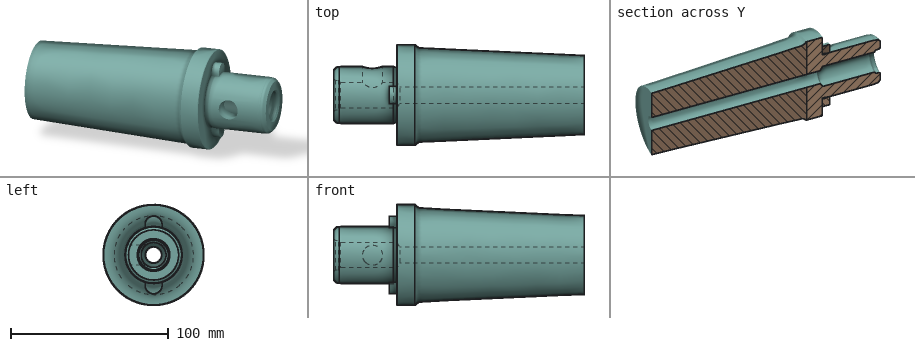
import cadquery as cq
import math

LENGTH = 159.0
FLANGE_FRONT = 40.0
FLANGE_BACK = 51.5

SPIGOT_RADIUS = 18.1
TIP_RADIUS = 15.9
TIP_CHAMFER = 1.6
BAND_RADIUS = 17.8
BAND_START = 2.2
BAND_END = 3.0
RAMP_START = 3.7
RAMP_START_RADIUS = 18.0
RAMP_END = 5.0
ROUND_SAG = 0.05

UNDERCUT_START = 37.7
SLOPE_END = 38.5
SLOPE_END_RADIUS = 17.8
GROOVE_RADIUS = 17.6
GROOVE_START = 39.1
GROOVE_END = 39.6
WALL_ROOT_DEPTH = 0.3
WALL_ROOT_RADIUS = 18.5
WALL_RIM_RADIUS = 19.7

FLANGE_DIAMETER = 64.0
FLANGE_RADIUS = FLANGE_DIAMETER / 2
FLANGE_CHAMFER = 0.3

MOUTH_RADIUS = 10.3
COUNTERBORE_RADIUS = 9.4
COUNTERBORE_DEPTH = 2.9
DRILL_RADIUS = 8.0
DRILL_DEPTH = FLANGE_FRONT
PASSAGE_RADIUS = 5.1
DRILL_POINT_ANGLE = 118.0

SIDE_HOLE_X = 24.5
SIDE_HOLE_RADIUS = 6.4

BODY_CHAMFER = 1.0
BLEND_END = 55.3
TAPER_FRONT_RADIUS = 29.9
TAPER_BACK_RADIUS = 25.1

PIN_RADIUS = 5.4
PIN_AXIS_OFFSET = 19.2
PIN_LENGTH = 5.0
PIN_ANGLES = (0, 180)


def revolve_about_x(profile):
    """Turn a closed profile, drawn as (x, radius), about the X axis."""
    return profile.close().revolve(360, (0, 0, 0), (1, 0, 0))


def make_spigot_and_flange():
    return revolve_about_x(
        cq.Workplane("XY")
        .moveTo(0, 0)
        .lineTo(0, TIP_RADIUS)
        .lineTo(TIP_CHAMFER, TIP_RADIUS + TIP_CHAMFER)
        .sagittaArc((BAND_START, BAND_RADIUS), ROUND_SAG)
        .lineTo(BAND_END, BAND_RADIUS)
        .sagittaArc((RAMP_START, RAMP_START_RADIUS), -ROUND_SAG)
        .lineTo(RAMP_END, SPIGOT_RADIUS)
        .lineTo(UNDERCUT_START, SPIGOT_RADIUS)
        .lineTo(SLOPE_END, SLOPE_END_RADIUS)
        .tangentArcPoint((GROOVE_START, GROOVE_RADIUS), relative=False)
        .lineTo(GROOVE_END, GROOVE_RADIUS)
        .tangentArcPoint((FLANGE_FRONT + WALL_ROOT_DEPTH, WALL_ROOT_RADIUS), relative=False)
        .lineTo(FLANGE_FRONT, WALL_RIM_RADIUS)
        .lineTo(FLANGE_FRONT, FLANGE_RADIUS - FLANGE_CHAMFER)
        .lineTo(FLANGE_FRONT + FLANGE_CHAMFER, FLANGE_RADIUS)
        .lineTo(FLANGE_BACK, FLANGE_RADIUS)
        .lineTo(FLANGE_BACK, 0)
    )


def make_bore():
    mouth_depth = MOUTH_RADIUS - COUNTERBORE_RADIUS
    shoulder_depth = COUNTERBORE_RADIUS - DRILL_RADIUS
    half_point = math.radians(DRILL_POINT_ANGLE / 2)
    point_depth = (DRILL_RADIUS - PASSAGE_RADIUS) / math.tan(half_point)
    return revolve_about_x(
        cq.Workplane("XY")
        .moveTo(0, 0)
        .lineTo(0, MOUTH_RADIUS)
        .lineTo(mouth_depth, COUNTERBORE_RADIUS)
        .lineTo(COUNTERBORE_DEPTH, COUNTERBORE_RADIUS)
        .lineTo(COUNTERBORE_DEPTH + shoulder_depth, DRILL_RADIUS)
        .lineTo(DRILL_DEPTH, DRILL_RADIUS)
        .lineTo(DRILL_DEPTH + point_depth, PASSAGE_RADIUS)
        .lineTo(LENGTH, PASSAGE_RADIUS)
        .lineTo(LENGTH, 0)
    )


def make_side_hole():
    return (
        cq.Workplane("XZ", origin=(SIDE_HOLE_X, 0, 0))
        .circle(SIDE_HOLE_RADIUS)
        .extrude(-FLANGE_RADIUS)
    )


def make_adaptor():
    return make_spigot_and_flange().cut(make_bore()).cut(make_side_hole())


def make_tapered_body():
    chamfer_end = FLANGE_BACK + BODY_CHAMFER
    chamfer_radius = FLANGE_RADIUS - BODY_CHAMFER
    solid = revolve_about_x(
        cq.Workplane("XY")
        .moveTo(FLANGE_BACK, 0)
        .lineTo(FLANGE_BACK, FLANGE_RADIUS)
        .lineTo(chamfer_end, chamfer_radius)
        .tangentArcPoint((BLEND_END, TAPER_FRONT_RADIUS), relative=False)
        .lineTo(LENGTH, TAPER_BACK_RADIUS)
        .lineTo(LENGTH, 0)
    )
    return solid.cut(make_bore())


def make_pin(angle):
    """Key with a round outer end and flat sides, trimmed underneath to the spigot radius."""
    key = (
        cq.Workplane("YZ", origin=(FLANGE_FRONT - PIN_LENGTH, 0, 0))
        .moveTo(-PIN_RADIUS, 0)
        .lineTo(-PIN_RADIUS, PIN_AXIS_OFFSET)
        .threePointArc((0, PIN_AXIS_OFFSET + PIN_RADIUS), (PIN_RADIUS, PIN_AXIS_OFFSET))
        .lineTo(PIN_RADIUS, 0)
        .close()
        .extrude(PIN_LENGTH)
    )
    spigot_space = cq.Workplane("YZ").circle(SPIGOT_RADIUS).extrude(FLANGE_FRONT)
    return key.cut(spigot_space).rotate((0, 0, 0), (1, 0, 0), angle)


adaptor = make_adaptor()
tapered_body = make_tapered_body()
pins = [make_pin(angle) for angle in PIN_ANGLES]

result = cq.Compound.makeCompound(
    [adaptor.val(), tapered_body.val(), *[pin.val() for pin in pins]]
)